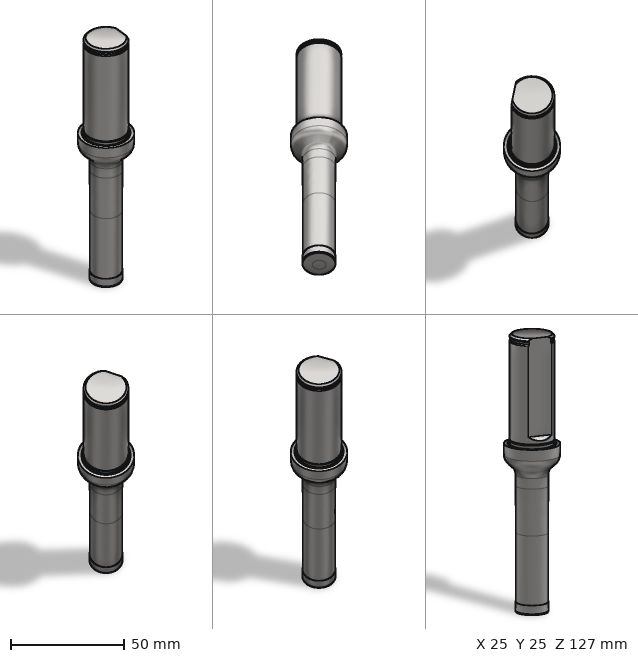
import cadquery as cq

total_height = 127.0
shank_length = 50.0
collar_top = total_height - shank_length

shank_radius = 10.0
groove_radius = 9.75
groove_run_out = 0.75
top_chamfer = 1.0
top_land = 0.3
upper_groove_lip = 0.3
upper_groove_floor = 0.95
lower_groove_floor = 1.25

flat_offset = 8.2
flat_bottom = collar_top + 5.2
cutter_overrun = 1.0

collar_radius = 12.5
collar_rim_bottom = 72.0
undercut_radius = 10.9
undercut_floor_radius = 10.3
undercut_depth = 0.2

neck_radius = 14.73 / 2
stem_radius = 14.4 / 2
neck_top = 62.9
neck_bottom = 58.0
taper_bottom = 36.6

tip_top = 4.85
tip_radius = 14.73 / 2
tip_edge_radius = tip_radius + 0.09
tip_flare_sag = 0.03
tip_edge_height = 1.0
tip_face_radius = 7.2
tip_face_height = 0.35
tip_flat_radius = 3.0


def make_holder():
    """Shank, collar and stem turned as one piece, with a flat milled on the shank."""
    chamfer_bottom = total_height - top_chamfer
    upper_lip_top = chamfer_bottom - top_land
    upper_floor_top = upper_lip_top - upper_groove_lip
    upper_floor_bottom = upper_floor_top - upper_groove_floor
    lower_floor_top = collar_top + lower_groove_floor
    downward = (0, -1)

    body = (
        cq.Workplane("XZ")
        .moveTo(0, total_height)
        .lineTo(shank_radius - top_chamfer, total_height)
        .lineTo(shank_radius, chamfer_bottom)
        .lineTo(shank_radius, upper_lip_top)
        .lineTo(groove_radius, upper_floor_top)
        .lineTo(groove_radius, upper_floor_bottom)
        .lineTo(shank_radius, upper_floor_bottom - groove_run_out)
        .lineTo(shank_radius, lower_floor_top + groove_run_out)
        .lineTo(groove_radius, lower_floor_top)
        .lineTo(groove_radius, collar_top - undercut_depth)
        .lineTo(undercut_floor_radius, collar_top - undercut_depth)
        .lineTo(undercut_radius, collar_top)
        .lineTo(collar_radius, collar_top)
        .lineTo(collar_radius, collar_rim_bottom)
        .spline([(neck_radius, neck_top)], tangents=[downward, downward], includeCurrent=True)
        .lineTo(neck_radius, neck_bottom)
        .lineTo(stem_radius, taper_bottom)
        .lineTo(stem_radius, tip_top)
        .lineTo(0, tip_top)
        .close()
        .revolve(360, (0, 0), (0, 1))
    )
    return body.cut(make_flat_cutter())


def make_flat_cutter():
    """Block that removes everything beyond the shank flat, ending in the sloped run-out."""
    outer_offset = shank_radius + cutter_overrun
    return (
        cq.Workplane("YZ")
        .moveTo(flat_offset, total_height)
        .lineTo(flat_offset, flat_bottom)
        .lineTo(outer_offset, flat_bottom - (outer_offset - flat_offset))
        .lineTo(outer_offset, total_height)
        .close()
        .extrude(shank_radius, both=True)
    )


def make_tip():
    """Slightly flared round tip with a shallow cone and a flat at its end, butted against the stem."""
    return (
        cq.Workplane("XZ")
        .moveTo(0, tip_top)
        .lineTo(tip_radius, tip_top)
        .threePointArc(
            ((tip_radius + tip_edge_radius) / 2 - tip_flare_sag, (tip_top + tip_edge_height) / 2),
            (tip_edge_radius, tip_edge_height),
        )
        .lineTo(tip_face_radius, tip_face_height)
        .lineTo(tip_flat_radius, 0)
        .lineTo(0, 0)
        .close()
        .revolve(360, (0, 0), (0, 1))
    )


holder = make_holder()
tip = make_tip()

result = cq.Compound.makeCompound([holder.val(), tip.val()])